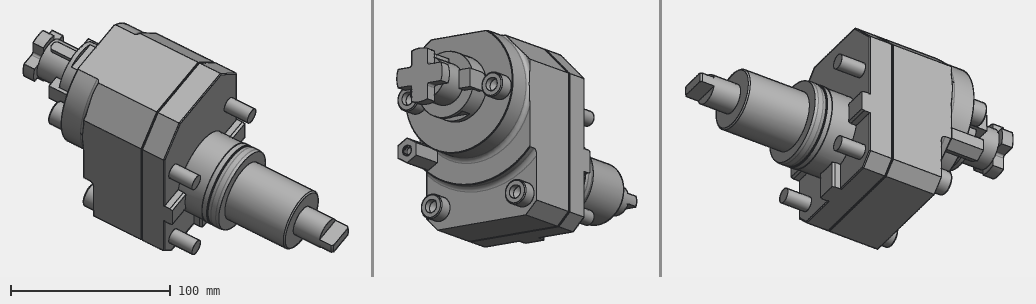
import cadquery as cq
import math


half_width = 42.0
block_top = 70.5
block_bottom = -45.3
block_front = -52.8
top_chamfer = 18.0
bottom_chamfer = 8.3
rear_edge_chamfer = 0.7
seam_x = -17.0
seam_width = 1.0
seam_depth = 0.5

spindle_z = 35.6
shelf_radius = 57.7
shelf_front = -60.2
disc_radius = 41.0
disc_front = -77.8
foot_radius = 3.0
rim_chamfer = 0.5

nose_collar_radius = 21.2
nose_collar_front = -92.2
flat_distance = 18.3
flat_start = -89.3
flat_end = -81.5
arbor_radius = 13.5
lug_front = -98.3
lug_straight_end = -85.7
lug_width = 12.0
lug_inner = 14.2
lug_reach = 22.8
feather_front = -110.5
feather_width = 7.2
feather_top = 15.5
feather_corner = 2.7
cross_front = -121.0
cross_back = -113.2
cross_radius = 17.4
cross_arm_width = 12.0
cross_corner = 1.5

bolt_offset = 32.0
head_radius = 8.0
head_chamfer = 0.7
head_front_upper = -88.0
head_front_lower = -62.2
socket_radius = 4.3
socket_depth = 4.5
socket_tip = 2.5
bolt_radius = 5.0
bolt_end = 17.4

plug_y = 35.6
plug_flats = 14.0
plug_front = -83.5
plug_bore_radius = 3.4
plug_bore_depth = 1.1
plug_socket_radius = 2.5
plug_socket_depth = 3.4

pilot_radius = 27.0
pilot_length = 18.5
flange_radius = 27.5
flange_end = 31.0
flange_taper_start = 28.9
groove_start = 22.0
ring_start = 22.8
groove_end = 25.3
groove_depth = 0.7
ring_bulge = 0.2
shank_radius = 20.0
shank_end = 75.3
shank_chamfer = 1.0
drive_radius = 10.0
drive_shoulder = 94.5
drive_end = 104.5
tang_width = 6.8
tang_chamfer = 1.1

key_width = 14.9
key_height = 5.9
key_lead_length = 1.8
key_lead_depth = 0.7


def cylinder_x(radius, start, end, y=0.0, z=0.0):
    """Solid cylinder parallel to X."""
    return cq.Workplane("YZ", origin=(start, y, z)).circle(radius).extrude(end - start)


def box(x_range, y_range, z_range):
    """Box between pairs of limits."""
    lows, highs = zip(x_range, y_range, z_range)
    sizes = [high - low for low, high in zip(lows, highs)]
    return cq.Workplane("XY", origin=lows).box(*sizes, centered=False)


def revolve_x(profile, z=0.0):
    """Revolve a closed profile, drawn as (x, radius), about a line parallel to X."""
    return profile.revolve(360, (0, 0, 0), (1, 0, 0)).translate((0, 0, z))


def housing_prism(start, end, inset=0.0):
    """Length of the chamfered housing section, optionally set in from its sides."""
    side = half_width - inset
    top = block_top - inset
    bottom = block_bottom + inset
    leg_loss = inset * (2 - math.sqrt(2))
    top_leg = top_chamfer - leg_loss
    bottom_leg = bottom_chamfer - leg_loss
    outline = [
        (side, bottom + bottom_leg),
        (side, top - top_leg),
        (side - top_leg, top),
        (top_leg - side, top),
        (-side, top - top_leg),
        (-side, bottom + bottom_leg),
        (bottom_leg - side, bottom),
        (side - bottom_leg, bottom),
    ]
    return cq.Workplane("YZ", origin=(start, 0, 0)).polyline(outline).close().extrude(end - start)


def spindle_step(radius, front, back):
    """Round step on the spindle axis with a chamfered rim and a concave fillet at its foot."""
    arc_mid = foot_radius * (1 - math.sqrt(0.5))
    profile = (
        cq.Workplane("XY")
        .moveTo(front, 0)
        .lineTo(front, radius - rim_chamfer)
        .lineTo(front + rim_chamfer, radius)
        .lineTo(back - foot_radius, radius)
        .threePointArc((back - arc_mid, radius + arc_mid), (back, radius + foot_radius))
        .lineTo(back, 0)
        .close()
    )
    return revolve_x(profile, spindle_z)


def make_housing():
    block = housing_prism(block_front, 0).faces(">X").edges().chamfer(rear_edge_chamfer)
    seam_start = seam_x - seam_width / 2
    seam_end = seam_x + seam_width / 2
    seam = housing_prism(seam_start, seam_end).cut(housing_prism(seam_start, seam_end, seam_depth))
    shelf = spindle_step(shelf_radius, shelf_front, block_front)
    disc = spindle_step(disc_radius, disc_front, shelf_front)
    front_steps = shelf.union(disc).intersect(housing_prism(disc_front, block_front))
    return block.cut(seam).union(front_steps)


def make_cross():
    thickness = cross_back - cross_front
    arms = cq.Workplane("YZ", origin=(cross_front, 0, 0))
    level = arms.rect(2 * lug_reach, cross_arm_width).extrude(thickness)
    upright = arms.rect(cross_arm_width, 2 * lug_reach).extrude(thickness)
    corner_reach = 0.75 * cross_arm_width
    inner_corners = cq.selectors.BoxSelector(
        (cross_front, -corner_reach, -corner_reach),
        (cross_back, corner_reach, corner_reach),
    )
    cross = level.union(upright).edges("|X").edges(inner_corners).fillet(cross_corner)
    return cross.intersect(cylinder_x(cross_radius, cross_front, cross_back))


def make_spindle_nose():
    collar = cylinder_x(nose_collar_radius, nose_collar_front, disc_front)
    for low, high in ((flat_distance, nose_collar_radius), (-nose_collar_radius, -flat_distance)):
        flat = box((flat_start, flat_end), (-nose_collar_radius, nose_collar_radius), (low, high))
        collar = collar.cut(flat)
    arbor = cylinder_x(arbor_radius, cross_back, nose_collar_front)

    half_lug = lug_width / 2
    lug = (
        cq.Workplane("XZ", origin=(0, lug_reach, 0))
        .moveTo(lug_front, -half_lug)
        .lineTo(lug_straight_end, -half_lug)
        .threePointArc((lug_straight_end + half_lug, 0), (lug_straight_end, half_lug))
        .lineTo(lug_front, half_lug)
        .close()
        .extrude(lug_reach - lug_inner)
    )
    lugs = lug.union(lug.mirror("XZ"))

    feather_length = nose_collar_front - feather_front
    feather = (
        cq.Workplane("XY")
        .center(feather_front + feather_length / 2, 0)
        .rect(feather_length, feather_width)
        .extrude(feather_top)
        .edges("|Z")
        .fillet(feather_corner)
    )
    nose = collar.union(arbor).union(lugs).union(feather).union(make_cross())
    return nose.translate((0, 0, spindle_z))


def make_bolt(y, z, head_front, head_seat):
    """Cap-screw head on the front and the threaded end behind the mounting face."""
    head = cylinder_x(head_radius, head_front, head_seat, y, z)
    head = head.faces("<X").edges().chamfer(head_chamfer)
    thread = cylinder_x(bolt_radius, 0, bolt_end, y, z)
    return head.union(thread)


def make_socket(y, z, head_front):
    """Drilled recess with a conical bottom."""
    profile = (
        cq.Workplane("XY")
        .moveTo(head_front, 0)
        .lineTo(head_front, socket_radius)
        .lineTo(head_front + socket_depth, socket_radius)
        .lineTo(head_front + socket_depth + socket_tip, 0)
        .close()
    )
    return revolve_x(profile).translate((0, y, z))


def add_bolts(body):
    rows = (
        (bolt_offset, head_front_upper, shelf_front),
        (-bolt_offset, head_front_lower, block_front),
    )
    for z, head_front, head_seat in rows:
        for y in (-bolt_offset, bolt_offset):
            body = body.union(make_bolt(y, z, head_front, head_seat))
            body = body.cut(make_socket(y, z, head_front))
    return body


def make_plug():
    plug = (
        cq.Workplane("YZ", origin=(plug_front, plug_y, 0))
        .transformed(rotate=(0, 0, 90))
        .polygon(6, plug_flats / math.cos(math.pi / 6))
        .extrude(shelf_front - plug_front)
    )
    bore = cylinder_x(plug_bore_radius, plug_front, plug_front + plug_bore_depth, plug_y)
    socket = cylinder_x(plug_socket_radius, plug_front, plug_front + plug_socket_depth, plug_y)
    return plug.cut(bore).cut(socket)


def make_shank():
    groove_floor = flange_radius - groove_depth
    ring_mid = ((ring_start + groove_end) / 2, flange_radius - groove_depth / 2 + ring_bulge)
    profile = (
        cq.Workplane("XY")
        .moveTo(0, 0)
        .lineTo(0, pilot_radius)
        .lineTo(pilot_length, pilot_radius)
        .lineTo(pilot_length, flange_radius)
        .lineTo(groove_start, flange_radius)
        .lineTo(groove_start, groove_floor)
        .lineTo(ring_start, groove_floor)
        .threePointArc(ring_mid, (groove_end, flange_radius))
        .lineTo(flange_taper_start, flange_radius)
        .lineTo(flange_end, pilot_radius)
        .lineTo(flange_end, shank_radius)
        .lineTo(shank_end - shank_chamfer, shank_radius)
        .lineTo(shank_end, shank_radius - shank_chamfer)
        .lineTo(shank_end, drive_radius)
        .lineTo(drive_end - tang_chamfer, drive_radius)
        .lineTo(drive_end, drive_radius - tang_chamfer)
        .lineTo(drive_end, 0)
        .close()
    )
    shank = revolve_x(profile)
    for low, high in ((tang_width / 2, drive_radius), (-drive_radius, -tang_width / 2)):
        shank = shank.cut(box((drive_shoulder, drive_end), (-drive_radius, drive_radius), (low, high)))
    return shank


def make_key(reach, angle):
    """Key running straight down from the shank axis, then turned about X."""
    half_key = key_width / 2
    lead_start = key_height - key_lead_length
    outline = [
        (-rear_edge_chamfer, -half_key),
        (lead_start, -half_key),
        (key_height, key_lead_depth - half_key),
        (key_height, half_key - key_lead_depth),
        (lead_start, half_key),
        (-rear_edge_chamfer, half_key),
    ]
    key = cq.Workplane("XY").polyline(outline).close().extrude(-reach)
    return key.rotate((0, 0, 0), (1, 0, 0), angle)


body = make_housing().union(make_spindle_nose()).union(make_plug()).union(make_shank())
for key_reach, key_angle in ((-block_bottom, 0), (half_width, 90), (half_width, -90)):
    body = body.union(make_key(key_reach, key_angle))
result = add_bolts(body)